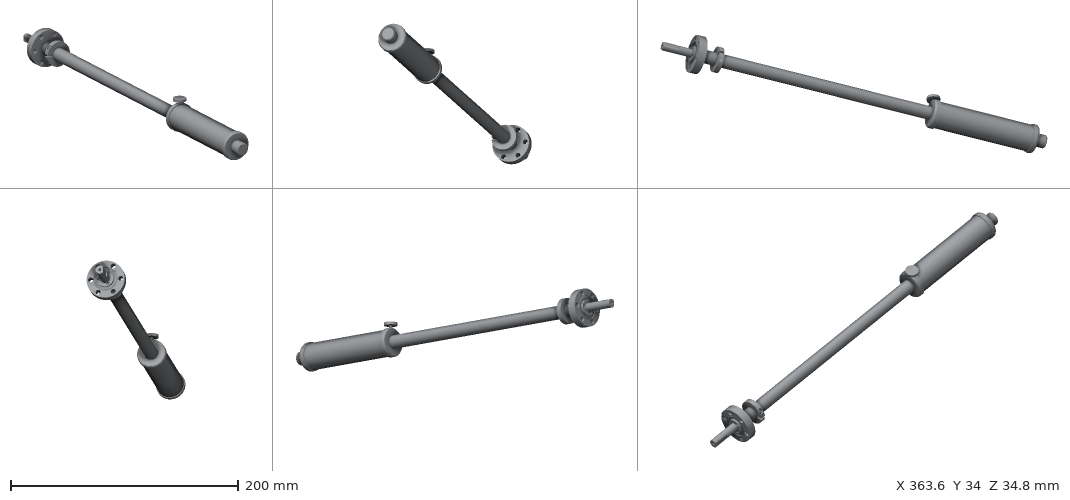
import cadquery as cq


total_length = 363.6
shaft_reach = 28.7
rear_x = total_length - shaft_reach

shaft_radius = 3.8
shaft_flat_length = 14.8
shaft_flat_depth = 1.0
tap_diameter = 2.5
tap_depth = 6.0

flange_radius = 17.0
flange_thickness = 7.5
bolt_count = 6
bolt_circle_radius = 13.5
bolt_hole_diameter = 4.4
leak_slot_width = 1.2
leak_slot_depth = 1.6

recess_radius = 10.7
recess_depth = 1.2
knife_radius = 9.2
knife_tip_depth = 0.6

nose_radius = 7.1
nose_length = 1.0
nose_hole_count = 3
nose_hole_start_angle = 180
nose_hole_circle_radius = 5.4
nose_hole_diameter = 1.8
nose_hole_depth = 4.0
nose_counterbore_diameter = 3.4
nose_counterbore_depth = 1.5

tube_radius = 6.0
tube_end_chamfer = 1.0

collar_x = 21.2
collar_radius = 11.5
collar_thickness = 4.7
split_width = 2.0
clamp_screw_offset = 8.7
clamp_screw_diameter = 2.0
clamp_head_diameter = 3.6
clamp_head_seat = 5.2

barrel_x = 225.6
barrel_length = 99.2
barrel_radius = 12.0
cap_length = 5.4
cap_radius = 13.0
cap_fillet = 2.0
lip_width = 1.2
lip_relief = 0.15

thumb_x = barrel_x + 3.2
thumb_top = 17.75
thumb_radius = 6.0
thumb_thickness = 2.5
thumb_stem_radius = 1.6


def rod(start, length, radius):
    """Solid cylinder on the X axis."""
    return cq.Workplane("YZ", origin=(start, 0, 0)).circle(radius).extrude(length)


def make_shaft():
    shaft = rod(-shaft_reach, shaft_reach + flange_thickness, shaft_radius)
    flat = cq.Workplane("XY").box(
        shaft_flat_length, shaft_radius, 2 * shaft_radius, centered=(False, False, True)
    ).translate((-shaft_reach, shaft_flat_depth - 2 * shaft_radius, 0))
    return shaft.cut(flat).cut(rod(-shaft_reach, tap_depth, tap_diameter / 2))


def make_flange():
    flange = rod(0, flange_thickness, flange_radius)
    recess_half_section = [
        (0, 0),
        (0, recess_radius),
        (recess_depth, recess_radius),
        (knife_tip_depth, knife_radius),
        (recess_depth, knife_radius),
        (recess_depth, 0),
    ]
    recess = cq.Workplane("XY").polyline(recess_half_section).close()
    flange = flange.cut(recess.revolve(360, (0, 0, 0), (1, 0, 0)))

    bolt_holes = (
        cq.Workplane("YZ")
        .polarArray(bolt_circle_radius, 0, 360, bolt_count)
        .circle(bolt_hole_diameter / 2)
        .extrude(flange_thickness)
    )
    return flange.cut(bolt_holes)


def make_leak_slots():
    """Radial grooves that join the seal recess to the two bolt holes on the Y axis."""
    slot_length = bolt_circle_radius - recess_radius
    slot = cq.Workplane("XY").box(
        leak_slot_depth, slot_length, leak_slot_width, centered=(False, True, True)
    ).translate((0, recess_radius + slot_length / 2, 0))
    return slot.union(slot.mirror("XZ"))


def make_nose():
    nose = rod(-nose_length, nose_length + flange_thickness, nose_radius)
    return (
        nose.faces("<X").workplane(origin=(-nose_length, 0, 0))
        .polarArray(nose_hole_circle_radius, nose_hole_start_angle, 360, nose_hole_count)
        .cboreHole(
            nose_hole_diameter, nose_counterbore_diameter, nose_counterbore_depth, nose_hole_depth
        )
    )


def make_collar():
    collar = rod(collar_x, collar_thickness, collar_radius)
    middle_x = collar_x + collar_thickness / 2
    split = cq.Workplane("XY").box(
        collar_thickness, collar_radius, split_width
    ).translate((middle_x, -collar_radius / 2, 0))
    screw_axis = (middle_x, -clamp_screw_offset)
    screw_hole = (
        cq.Workplane("XY").center(*screw_axis)
        .circle(clamp_screw_diameter / 2).extrude(collar_radius, both=True)
    )
    head_seat = (
        cq.Workplane("XY", origin=(0, 0, clamp_head_seat)).center(*screw_axis)
        .circle(clamp_head_diameter / 2).extrude(collar_radius)
    )
    return collar.cut(split).cut(screw_hole).cut(head_seat)


def make_tube():
    tube = rod(flange_thickness, rear_x - flange_thickness, tube_radius)
    return tube.faces(">X").chamfer(tube_end_chamfer)


def make_barrel():
    barrel = rod(barrel_x, barrel_length, barrel_radius)
    front_cap = rod(barrel_x, cap_length, cap_radius).faces("<X").edges().fillet(cap_fillet)
    rear_cap_x = barrel_x + barrel_length - cap_length
    rear_lip = rod(rear_cap_x, lip_width, cap_radius - lip_relief)
    rear_cap = rod(rear_cap_x + lip_width, cap_length - lip_width, cap_radius)
    rear_cap = rear_cap.faces(">X").edges().fillet(cap_fillet)
    return barrel.union(front_cap).union(rear_lip).union(rear_cap)


def make_thumb_screw():
    stem = cq.Workplane("XY").center(thumb_x, 0).circle(thumb_stem_radius).extrude(thumb_top)
    head_bottom = thumb_top - thumb_thickness
    head = cq.Workplane("XY", origin=(thumb_x, 0, head_bottom)).circle(thumb_radius)
    return stem.union(head.extrude(thumb_thickness))


result = (
    make_flange().cut(make_leak_slots())
    .union(make_nose())
    .union(make_shaft())
    .union(make_collar())
    .union(make_tube())
    .union(make_barrel())
    .union(make_thumb_screw())
)